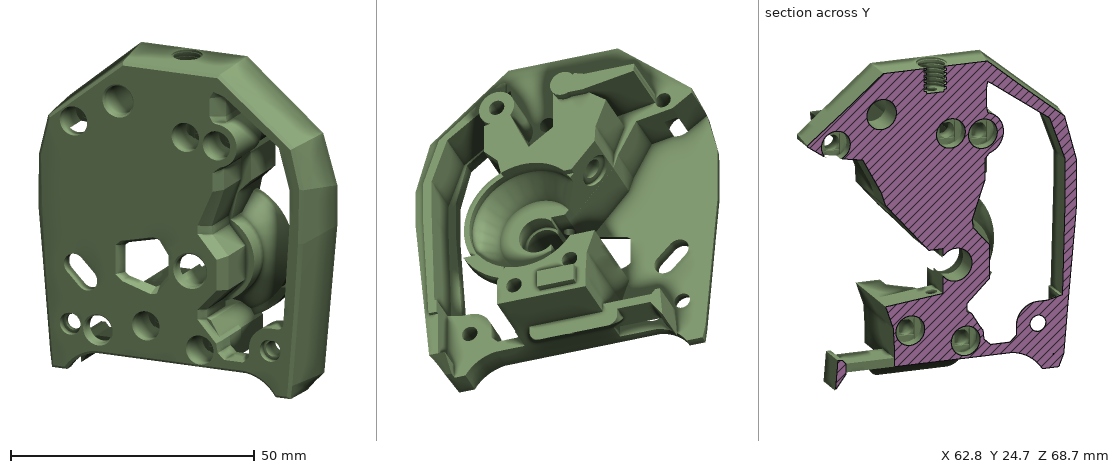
import cadquery as cq
import math

SHELL_DEPTH = 11.85
PLATE_THICKNESS = 2.6
LIP_DEPTH = 12.65
LUG_DEPTH = 22.9
LATCH_DEPTH = 24.7
HEIGHT = 68.69
FRONT_CHAMFER = 0.6
THROUGH = 40.0

FRONT_HALF = [(10.9, 67.65), (27.8, 54.1), (29.9, 45.4), (29.9, 33.7), (27.3, 2.9), (27.0, 0)]
REAR_HALF = [(12.0, HEIGHT), (29.2, 54.4), (32.4, 43.6), (32.4, 35.0), (29.45, 2.9), (27.6, 0)]

ARCH_TOP = 4.3
ARCH_FLAT_HALF = 17.0
ARCH_FOOT_HALF = 23.6
ARCH_MIDDLE = (21.2, 2.6)

LATCH_SCREW = (-21.9, 53.7)
UPPER_SCREW = (3.45, 53.4)
LUG_SCREW = (10.5, 52.5)
LOWER_SCREW = (-5.5, 11.75)
CORNER_SCREW = (6.7, 8.1)
ACCESS_TOP = (-11.8, 59.3)
ACCESS_BOTTOM = (-16.35, 9.5)
GEAR_AXIS = (4.55, 24.85)
FOOT_SCREW_X = 22.65
FOOT_SCREW_Z = 10.0

SCREW_DIA = 3.4
HEAD_DIA = 6.25
HEAD_DEPTH = 8.0
BRIDGE_STEP = 0.3

LUG_BOSS_DIA = 9.2
FOOT_BOSS_DIA = 9.6
FOOT_DEPTH = 6.2
FOOT_HEAD_DIA = 4.7
FOOT_HEAD_DEPTH = 1.6
ACCESS_TOP_DIA = 6.4
ACCESS_BOTTOM_DIA = 6.0
ACCESS_CHAMFER = 0.35
SLOT_WIDTH = 4.7
SLOT_LENGTH = 8.7
SLOT_CENTRE = (-20.3, 21.4)
SLOT_TILT = 45

FILAMENT_Y = 8.2
FILAMENT_DIA = 2.4
FITTING_DIA = 5.6
FITTING_THREAD_DIA = 6.4
FITTING_DEPTH = 6.0
THREAD_PITCH = 1.0
THREAD_WIDTH = 0.5

SHAFT_DIA = 7.0
BEARING_DIA = 8.2
BEARING_START = 11.0
BOWL_RADIUS = 13.7
BOWL_NECK_RADIUS = 9.5
BOWL_TAPER_START = 15.4
BOWL_RIM_START = 19.6
BOWL_BACK = 21.4
BOWL_WALL = 1.2
BOWL_FLANGE_DIA = 30.4
BOWL_FLOOR = 14.7

BAY_WALL_X = 1.6

TENSION_POINT = (-8.75, 16.2, 36.8)
TENSION_DIRECTION = (0.77, 0, 0.64)
TENSION_DIA = 4.2
TENSION_SEAT_DIA = 7.0
TENSION_SEAT_DEPTH = 1.0


def plane(y):
    """XZ plane at depth y whose normal points to the rear."""
    return cq.Plane(origin=(0, y, 0), xDir=(-1, 0, 0), normal=(0, 1, 0))


def place(point):
    """Convert an X, Z point to the mirrored axes of the rear-facing plane."""
    return (-point[0], point[1])


def prism(points, y_start, y_end):
    local = [place(p) for p in points]
    return cq.Workplane(plane(y_start)).polyline(local).close().extrude(y_end - y_start)


def ruled(front_points, rear_points, y_start, y_end):
    """Straight-sided solid between two outlines with matching corners."""
    front = [place(p) for p in front_points]
    rear = [place(p) for p in rear_points]
    work = cq.Workplane(plane(y_start)).polyline(front).close()
    return work.workplane(offset=y_end - y_start).polyline(rear).close().loft(ruled=True)


def rod(centre, diameter, y_start, y_end):
    work = cq.Workplane(plane(y_start)).center(*place(centre))
    return work.circle(diameter / 2).extrude(y_end - y_start)


def cone(centre, radius_start, radius_end, y_start, y_end):
    origin = cq.Vector(centre[0], y_start, centre[1])
    length = y_end - y_start
    solid = cq.Solid.makeCone(radius_start, radius_end, length, origin, cq.Vector(0, 1, 0))
    return cq.Workplane(obj=solid)


def box(x_range, y_range, z_range):
    size = [high - low for low, high in (x_range, y_range, z_range)]
    return cq.Workplane().box(*size, centered=False).translate((x_range[0], y_range[0], z_range[0]))


def both_halves(half):
    return half + [(-x, z) for x, z in reversed(half)]


def make_shell():
    shell = ruled(both_halves(FRONT_HALF), both_halves(REAR_HALF), 0, SHELL_DEPTH)
    mid_x, mid_z = ARCH_MIDDLE
    arch = (
        cq.Workplane(plane(-1))
        .moveTo(-ARCH_FOOT_HALF, 0)
        .threePointArc((-mid_x, mid_z), (-ARCH_FLAT_HALF, ARCH_TOP))
        .lineTo(ARCH_FLAT_HALF, ARCH_TOP)
        .threePointArc((mid_x, mid_z), (ARCH_FOOT_HALF, 0))
        .lineTo(ARCH_FOOT_HALF, -1)
        .lineTo(-ARCH_FOOT_HALF, -1)
        .close()
        .extrude(THROUGH)
    )
    return shell.cut(arch).faces("<Y").chamfer(FRONT_CHAMFER)


def make_drive_bay():
    """Open space behind the plate on the left side."""
    outline = [
        (-40, 60), (-28.2, 60), (-28.2, 54.2), (-24, 51.3), (-16, 49.9), (-12, 42.5),
        (-11, 39.5), (-2.6, 29.9), (-1.4, 28.6), (BAY_WALL_X, 28.6), (BAY_WALL_X, 19),
        (-11, 17.6), (-9.3, 12.7), (-9, 7.4), (-9, -5), (-40, -5),
    ]
    bearing_clearance = box(
        (BAY_WALL_X - 2, GEAR_AXIS[0]),
        (BEARING_START, THROUGH),
        (GEAR_AXIS[1] - BEARING_DIA / 2, GEAR_AXIS[1] + BEARING_DIA / 2),
    )
    return prism(outline, PLATE_THICKNESS, THROUGH).union(bearing_clearance)


def make_window():
    """Large opening inside the right side of the frame."""
    inner_x = 12.3
    front_edge = [(inner_x, 63.2), (24.6, 53.9), (27, 45.2), (27, 37), (25.6, 15.6)]
    rear_edge = [(inner_x, 63.2), (25.2, 54.1), (28.6, 44.8), (28.6, 37), (28, 15.6)]
    boss_radius = FOOT_BOSS_DIA / 2
    boss_left = FOOT_SCREW_X - boss_radius
    foot = [
        (24.7, FOOT_SCREW_Z + boss_radius), (FOOT_SCREW_X, FOOT_SCREW_Z + boss_radius),
        (FOOT_SCREW_X, FOOT_SCREW_Z), (boss_left, FOOT_SCREW_Z), (boss_left, 8), (16.5, 6.7),
        (12.2, 6.7), (10.8, 8),
    ]
    front_left = [
        (10.4, 10), (6.2, 14.6), (6.2, 16.7), (10.5, 21.4), (10.5, 28), (6.2, 33), (6.2, 34.8),
        (9.6, 42.5), (9.6, 46.5), (11, 47.7), (12.6, 48.8), (12.6, 56.5), (9.6, 57.4), (8.9, 58.6),
        (8.9, 62.5), (9.8, 64),
    ]
    rear_left = [
        (10.6, 10), (7.1, 14), (7.1, 16.2), (12, 21), (12, 28.3), (8.4, 32.4), (8.2, 34.2),
        (11, 42.4), (11, 47), (11.6, 47.7), (12.6, 48.8), (12.6, 56.5), (11.6, 57), (11.4, 58.2),
        (11.4, 62.5), (11.6, 63.6),
    ]
    front = front_edge + foot + front_left
    rear = front_edge + foot + rear_left
    deep = rear_edge + foot + rear_left
    opening = ruled(front, rear, 0, PLATE_THICKNESS)
    opening = opening.union(prism(deep, PLATE_THICKNESS, THROUGH))
    lug_boss = rod(LUG_SCREW, LUG_BOSS_DIA, 0, SHELL_DEPTH)
    foot_boss = rod((FOOT_SCREW_X, FOOT_SCREW_Z), FOOT_BOSS_DIA, 0, FOOT_DEPTH)
    return opening.cut(lug_boss).cut(foot_boss)


def make_foot_relief():
    """Step behind the right foot boss and the bevel on the rear of the right leg."""
    step_left = 10.6
    leg_inner_x = 26
    frame_inner_x = 27.5
    step_top = FOOT_SCREW_Z + 5.6
    bevel_start_y = 7.9
    bevel_height = 2.9
    step = box((step_left, leg_inner_x), (FOOT_DEPTH, THROUGH), (-1, step_top))
    step = step.union(box((step_left, frame_inner_x), (FOOT_DEPTH, THROUGH), (bevel_height, step_top)))
    bevel_side = [(bevel_start_y, 0), (SHELL_DEPTH, bevel_height), (SHELL_DEPTH, -1), (bevel_start_y, -1)]
    bevel = cq.Workplane("YZ", origin=(step_left, 0, 0)).polyline(bevel_side).close().extrude(THROUGH)
    return step.union(bevel)


def make_pentagon():
    """Drive gear opening with inward sloping edges."""
    front = [
        (-12.4, 22), (-12.4, 28.2), (-11.2, 29.3), (-4, 31), (-2.6, 30.8), (-0.4, 27.6),
        (-0.4, 22.3), (-3, 19), (-4.4, 18.7), (-10.9, 20.7),
    ]
    rear = [
        (-11.3, 21.9), (-11.3, 27.8), (-10.5, 28.4), (-4, 29.9), (-3.2, 29.5), (-1.5, 26.8),
        (-1.5, 22.6), (-3.5, 20), (-4.4, 19.6), (-10.4, 21.2),
    ]
    return ruled(front, rear, 0, PLATE_THICKNESS)


def make_frame_lip():
    """Narrow raised edge on the rear of the right frame."""
    outline = [
        (12.4, 63.2), (12.4, 65.3), (13.5, 65.3), (27, 54.5), (30.5, 44.6), (30.5, 36), (29.3, 12.6),
        (25.4, 12.6), (27, 37), (27, 45.2), (24.6, 53.9),
    ]
    return prism(outline, SHELL_DEPTH - 1, LIP_DEPTH)


def make_upper_rear_block():
    wall = [
        (-8, 54), (-1.9, 54), (-1.9, 45), (3.5, 41.3), (5.5, 45.5), (7.5, 50), (13.3, 48.6), (13.3, 42.4),
        (10.3, 39.5), (9, 33.7), (-5.9, 33.7), (-11, 39.5), (-11.2, 43), (-13.5, 49), (-10, 51.5),
    ]
    wall_foot = [(-5.9, 33.7), (9, 33.7), (BAY_WALL_X, 28.6), (-1.4, 28.6), (-2.6, 29.9)]
    latch_arm = [(-20.35, 55.2), (-9.4, 55.2), (-7.2, 55.9), (-3, 51.5), (-9, 51.5), (-20.35, 53.5)]
    boss_centre = (-4.65, 53.95)
    latch_boss_dia = 5.5
    lug_dia = 7.7
    start = SHELL_DEPTH - 1
    block = prism(wall, start, LUG_DEPTH).union(prism(wall_foot, start, BOWL_BACK))
    block = block.union(prism(latch_arm, start, LATCH_DEPTH))
    block = block.union(rod(boss_centre, latch_boss_dia, start, LATCH_DEPTH))
    return block.union(rod(LUG_SCREW, lug_dia, start, LUG_DEPTH))


def make_lower_rear_block():
    wall = [
        (-11, 17.6), (-1, 17.6), (8, 14), (10.4, 10), (10.4, ARCH_TOP), (-9, ARCH_TOP),
        (-9, 7.4), (-9.3, 12.7),
    ]
    bar_tip = [(-21.5, 7.2), (-22.05, 0.7), (-19.6, 4.0), (-19.6, 6.2), (-20.5, 7.2)]
    tab_depth = 24.5
    bar_tip_start = 3.9
    rear_tab = box((-7, 1), (LUG_DEPTH - 1, tab_depth), (5.5, 9.3))
    bottom_bar = box((-19.7, -9), (FOOT_DEPTH, LIP_DEPTH), (ARCH_TOP, 6.2))
    block = prism(wall, PLATE_THICKNESS, LUG_DEPTH).union(rear_tab)
    block = block.union(bottom_bar).union(prism(bar_tip, bar_tip_start, LIP_DEPTH))
    return block.union(make_tongue())


def make_tongue():
    """Rounded tab below the arch with a front face sloped at 45 degrees."""
    bottom = 0.65
    top = ARCH_TOP + 0.7
    corner_radius = 2.2
    left = -12.15
    right = 7.1
    slope_start = LIP_DEPTH - (top - bottom)
    tab = box((left, right), (0, LIP_DEPTH), (bottom, top))
    tab = tab.faces("<Z").edges("|Y").fillet(corner_radius)
    side = [(slope_start, top), (LIP_DEPTH, bottom), (LIP_DEPTH, top)]
    sloped = cq.Workplane("YZ", origin=(left, 0, 0)).polyline(side).close().extrude(right - left)
    return tab.intersect(sloped)


def make_bowl():
    """Conical housing for the large gear, open to the rear."""
    neck = rod(GEAR_AXIS, 2 * BOWL_NECK_RADIUS, SHELL_DEPTH - 1, BOWL_TAPER_START)
    taper = cone(GEAR_AXIS, BOWL_NECK_RADIUS, BOWL_RADIUS, BOWL_TAPER_START, BOWL_RIM_START)
    rim = rod(GEAR_AXIS, 2 * BOWL_RADIUS, BOWL_RIM_START, BOWL_BACK)
    flange = rod(GEAR_AXIS, BOWL_FLANGE_DIA, BOWL_RIM_START, LUG_DEPTH)
    flange_top = 17.4
    flange = flange.intersect(box((9, THROUGH), (0, THROUGH), (10.5, flange_top)))
    right_side = box((BAY_WALL_X, THROUGH), (0, THROUGH), (0, THROUGH))
    return neck.union(taper).union(rim).intersect(right_side).union(flange)


def make_bowl_cavity():
    floor_radius = BOWL_NECK_RADIUS - BOWL_WALL
    rim_radius = BOWL_RADIUS - BOWL_WALL
    taper = cone(GEAR_AXIS, floor_radius, rim_radius, BOWL_FLOOR, BOWL_RIM_START)
    rim = rod(GEAR_AXIS, 2 * rim_radius, BOWL_RIM_START, THROUGH)
    seat = rod(GEAR_AXIS, BEARING_DIA, BEARING_START, THROUGH)
    return taper.union(rim).union(seat)


def bridged_screw_hole(centre):
    slot_end = HEAD_DEPTH + BRIDGE_STEP
    square_end = slot_end + BRIDGE_STEP
    head = rod(centre, HEAD_DIA, 0, HEAD_DEPTH)
    half = SCREW_DIA / 2
    across = (centre[0] - half, centre[0] + half)
    upright = (centre[1] - HEAD_DIA / 2, centre[1] + HEAD_DIA / 2)
    slot = box(across, (0, slot_end), upright).intersect(rod(centre, HEAD_DIA, 0, slot_end))
    square = box(across, (0, square_end), (centre[1] - half, centre[1] + half))
    return head.union(slot).union(square).union(rod(centre, SCREW_DIA, 0, THROUGH))


def chamfered_hole(centre, diameter):
    radius = diameter / 2
    entry = cone(centre, radius + ACCESS_CHAMFER, radius, 0, ACCESS_CHAMFER)
    return rod(centre, diameter, 0, THROUGH).union(entry)


def foot_screw_hole(centre):
    head = rod(centre, FOOT_HEAD_DIA, 0, FOOT_HEAD_DEPTH)
    return head.union(rod(centre, SCREW_DIA, 0, THROUGH))


def make_slot():
    work = cq.Workplane(plane(0)).center(*place(SLOT_CENTRE))
    return work.slot2D(SLOT_LENGTH, SLOT_WIDTH, SLOT_TILT).extrude(THROUGH)


def make_filament_path():
    def disc(diameter, z_start, z_end):
        work = cq.Workplane("XY", origin=(0, FILAMENT_Y, z_start))
        return work.circle(diameter / 2).extrude(z_end - z_start)

    path = disc(FILAMENT_DIA, -1, HEIGHT + 1)
    path = path.union(disc(FITTING_DIA, HEIGHT - FITTING_DEPTH, HEIGHT + 1))
    groove_count = math.floor(FITTING_DEPTH / THREAD_PITCH)
    for index in range(groove_count):
        top = HEIGHT - index * THREAD_PITCH
        path = path.union(disc(FITTING_THREAD_DIA, top - THREAD_WIDTH, top))
    return path


def make_tension_hole():
    work = cq.Workplane(cq.Plane(TENSION_POINT, xDir=(0, 1, 0), normal=TENSION_DIRECTION))
    bore = work.circle(TENSION_DIA / 2).extrude(THROUGH / 2)
    seat = work.circle(TENSION_SEAT_DIA / 2).extrude(TENSION_SEAT_DEPTH)
    return bore.union(seat)


body = make_shell().union(make_frame_lip())
body = body.cut(make_drive_bay()).cut(make_window()).cut(make_pentagon())
body = body.cut(make_foot_relief())
body = body.union(make_upper_rear_block()).union(make_lower_rear_block()).union(make_bowl())
body = body.cut(make_bowl_cavity())

for screw in (LATCH_SCREW, UPPER_SCREW, LUG_SCREW, LOWER_SCREW, CORNER_SCREW):
    body = body.cut(bridged_screw_hole(screw))
for side in (-1, 1):
    body = body.cut(foot_screw_hole((side * FOOT_SCREW_X, FOOT_SCREW_Z)))
body = body.cut(chamfered_hole(ACCESS_TOP, ACCESS_TOP_DIA))
body = body.cut(chamfered_hole(ACCESS_BOTTOM, ACCESS_BOTTOM_DIA))
body = body.cut(chamfered_hole(GEAR_AXIS, SHAFT_DIA))
body = body.cut(make_slot()).cut(make_filament_path()).cut(make_tension_hole())

result = body